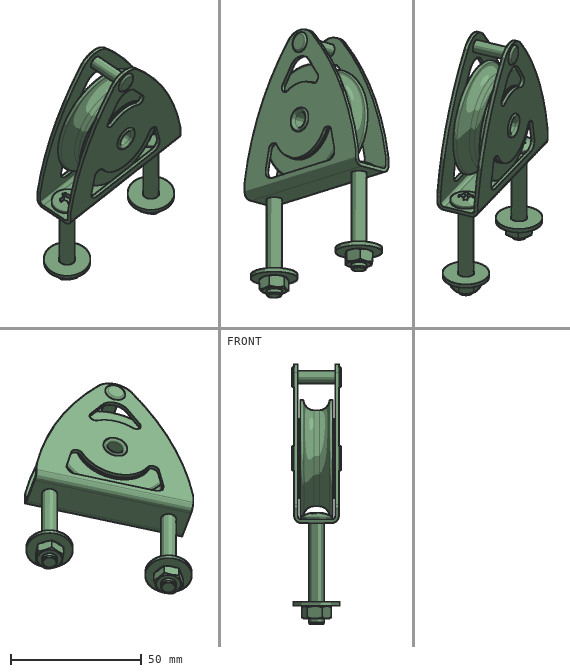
import cadquery as cq
import math


TOTAL_HEIGHT = 99.8

BRACKET_WIDTH = 17.4
BRACKET_LENGTH = 62.4
SHEET = 1.5
BEND_RADIUS = 3.0
BASE_BOTTOM = -24.9
BASE_TOP = BASE_BOTTOM + SHEET
BRACKET_TOP = 36.1
CREST_RADIUS = 9.0
CREST_HALF_ANGLE = math.radians(48.5)
FLANK_BOTTOM = -18.6
FLANK_FOOT_RADIUS = 10.0

WINDOW_INNER_RADIUS = 15.0
UPPER_WINDOW_TOP = 25.4
UPPER_CROWN_RADIUS = 6.2
UPPER_CORNER_RADIUS = 2.1
UPPER_CORNER_Y = 8.1
LOWER_WINDOW_BOTTOM = -19.9
LOWER_CORNER_RADIUS = 3.3
LOWER_CORNER_Y = 16.1
HORN_RADIUS = 2.4
HORN_Y = 15.2

PULLEY_RADIUS = 22.5
PULLEY_WIDTH = 12.6
GROOVE_FLOOR_RADIUS = 37.0 / 2
GROOVE_FLOOR_WIDTH = 2.1
RIM_WIDTH = 1.4
HUB_DIAMETER = 30.5
HUB_WIDTH = 13.6

END_SPAN = 19.0
AXLE_DIAMETER = 9.5
AXLE_BORE = 6.2
AXLE_LIP_ROUND = 0.5
AXLE_MOUTH_DIAMETER = AXLE_DIAMETER - 2 * AXLE_LIP_ROUND
PIN_Z = 31.1
PIN_DIAMETER = 5.0
PIN_HEAD_DIAMETER = 8.0
PIN_HEAD_ROUND = 0.9

BOLT_SPACING = 47.5
BOLT_DIAMETER = 6.0
BOLT_BOTTOM = BRACKET_TOP - TOTAL_HEIGHT
BOLT_TIP_DIAMETER = 5.2
BOLT_TIP_LENGTH = 0.6
HEAD_DIAMETER = 12.0
HEAD_EDGE = 1.0
HEAD_EDGE_ROUND = 0.3
HEAD_HEIGHT = 2.7
RECESS_RADIUS = 3.1
RECESS_ARM_WIDTH = 1.9
RECESS_WAIST = 1.7
RECESS_DEPTH = 1.6
RECESS_TAPER = 14
WASHER_DIAMETER = 18.0
WASHER_HOLE = 6.4
WASHER_THICKNESS = 1.6
WASHER_TOP = -55.1
NUT_FLATS = 10.0
NUT_HEIGHT = 5.0
NUT_FACE_DIAMETER = 9.5
NUT_CHAMFER_ANGLE = math.radians(30)


def cylinder_x(diameter, length):
    """Cylinder on the pulley axis, centred on X = 0."""
    return cq.Workplane("YZ").circle(diameter / 2).extrude(length / 2, both=True)


def on_circle(center, radius, angle):
    return (center[0] + radius * math.cos(angle), center[1] + radius * math.sin(angle))


def tangent_angle(start, start_radius, end, end_radius):
    """Direction of the contact points of the common tangent on the left of start -> end."""
    dy = end[0] - start[0]
    dz = end[1] - start[1]
    return math.atan2(dz, dy) + math.acos((start_radius - end_radius) / math.hypot(dy, dz))


def mirrored(point):
    return (-point[0], point[1])


def resting_center(y, radius, side):
    """Centre of a rounding circle that touches the inner window circle from outside."""
    return (y, side * math.sqrt((WINDOW_INNER_RADIUS + radius) ** 2 - y**2))


def inner_contact(center):
    """Point where a rounding circle touches the inner window circle."""
    return on_circle((0, 0), WINDOW_INNER_RADIUS, math.atan2(center[1], center[0]))


def upper_window():
    """Arch-shaped window above the axle."""
    crown = (0, UPPER_WINDOW_TOP - UPPER_CROWN_RADIUS)
    corner = resting_center(UPPER_CORNER_Y, UPPER_CORNER_RADIUS, 1)
    side = tangent_angle(crown, UPPER_CROWN_RADIUS, corner, UPPER_CORNER_RADIUS)
    crown_end = on_circle(crown, UPPER_CROWN_RADIUS, side)
    corner_start = on_circle(corner, UPPER_CORNER_RADIUS, side)
    corner_middle = on_circle(corner, UPPER_CORNER_RADIUS, -math.pi / 4)
    corner_end = inner_contact(corner)
    return (
        cq.Workplane("YZ")
        .moveTo(*mirrored(crown_end))
        .threePointArc((0, UPPER_WINDOW_TOP), crown_end)
        .lineTo(*corner_start)
        .threePointArc(corner_middle, corner_end)
        .threePointArc((0, WINDOW_INNER_RADIUS), mirrored(corner_end))
        .threePointArc(mirrored(corner_middle), mirrored(corner_start))
        .close()
        .extrude(BRACKET_WIDTH, both=True)
    )


def lower_window():
    """Crescent-shaped window below the axle, with two rounded horns."""
    horn = resting_center(HORN_Y, HORN_RADIUS, -1)
    corner = (LOWER_CORNER_Y, LOWER_WINDOW_BOTTOM + LOWER_CORNER_RADIUS)
    side = tangent_angle(horn, HORN_RADIUS, corner, LOWER_CORNER_RADIUS)
    horn_start = inner_contact(horn)
    horn_middle = on_circle(horn, HORN_RADIUS, math.pi / 2)
    horn_end = on_circle(horn, HORN_RADIUS, side)
    corner_start = on_circle(corner, LOWER_CORNER_RADIUS, side)
    corner_middle = on_circle(corner, LOWER_CORNER_RADIUS, -math.pi / 4)
    corner_end = (LOWER_CORNER_Y, LOWER_WINDOW_BOTTOM)
    return (
        cq.Workplane("YZ")
        .moveTo(*mirrored(horn_start))
        .threePointArc((0, -WINDOW_INNER_RADIUS), horn_start)
        .threePointArc(horn_middle, horn_end)
        .lineTo(*corner_start)
        .threePointArc(corner_middle, corner_end)
        .lineTo(*mirrored(corner_end))
        .threePointArc(mirrored(corner_middle), mirrored(corner_start))
        .lineTo(*mirrored(horn_end))
        .threePointArc(mirrored(horn_middle), mirrored(horn_start))
        .close()
        .extrude(BRACKET_WIDTH, both=True)
    )


def channel(width, bottom, radius):
    """Block along Y with its two lower edges rounded."""
    height = BRACKET_TOP - bottom
    return (
        cq.Workplane("XY", origin=(0, 0, bottom))
        .box(width, BRACKET_LENGTH, height, centered=(True, True, False))
        .edges("|Y and <Z")
        .fillet(radius)
    )


def bracket():
    crest = (0, BRACKET_TOP - CREST_RADIUS)
    half_outline = (
        cq.Workplane("YZ")
        .moveTo(0, BRACKET_TOP)
        .threePointArc(
            on_circle(crest, CREST_RADIUS, math.pi / 2 - CREST_HALF_ANGLE / 2),
            on_circle(crest, CREST_RADIUS, math.pi / 2 - CREST_HALF_ANGLE),
        )
        .tangentArcPoint((BRACKET_LENGTH / 2, FLANK_BOTTOM), relative=False)
        .lineTo(BRACKET_LENGTH / 2, BASE_BOTTOM)
        .lineTo(0, BASE_BOTTOM)
        .close()
        .extrude(BRACKET_WIDTH, both=True)
        .edges(cq.selectors.NearestToPointSelector((0, BRACKET_LENGTH / 2, FLANK_BOTTOM)))
        .fillet(FLANK_FOOT_RADIUS)
    )
    outline = half_outline.union(half_outline.mirror("XZ"))
    outside = channel(BRACKET_WIDTH, BASE_BOTTOM, BEND_RADIUS)
    inside = channel(BRACKET_WIDTH - 2 * SHEET, BASE_TOP, BEND_RADIUS - SHEET)
    sheet = outside.cut(inside).intersect(outline)
    return sheet.cut(upper_window()).cut(lower_window())


def pulley():
    """Grooved wheel with fully rounded rims and a raised hub face on each side."""
    side = PULLEY_WIDTH / 2
    groove_edge = side - RIM_WIDTH
    floor_edge = GROOVE_FLOOR_WIDTH / 2
    rim_center_x = side - RIM_WIDTH / 2
    rim_base = PULLEY_RADIUS - RIM_WIDTH / 2

    flank_width = groove_edge - floor_edge
    flank_depth = rim_base - GROOVE_FLOOR_RADIUS
    flank_radius = (flank_width**2 + flank_depth**2) / (2 * flank_depth)
    half_sweep = math.atan2(flank_width, flank_radius - flank_depth) / 2
    flank_center = (floor_edge, GROOVE_FLOOR_RADIUS + flank_radius)
    flank_middle = on_circle(flank_center, flank_radius, half_sweep - math.pi / 2)

    wheel = (
        cq.Workplane("XY")
        .moveTo(-side, 0)
        .lineTo(-side, rim_base)
        .threePointArc((-rim_center_x, PULLEY_RADIUS), (-groove_edge, rim_base))
        .threePointArc(mirrored(flank_middle), (-floor_edge, GROOVE_FLOOR_RADIUS))
        .lineTo(floor_edge, GROOVE_FLOOR_RADIUS)
        .threePointArc(flank_middle, (groove_edge, rim_base))
        .threePointArc((rim_center_x, PULLEY_RADIUS), (side, rim_base))
        .lineTo(side, 0)
        .close()
        .revolve(360, (0, 0, 0), (1, 0, 0))
    )
    return wheel.union(cylinder_x(HUB_DIAMETER, HUB_WIDTH))


def axle():
    """Axle whose riveted ends have a rounded outer edge."""
    return cylinder_x(AXLE_DIAMETER, END_SPAN).faces("<X or >X").edges().fillet(AXLE_LIP_ROUND)


def axle_bore():
    """Through bore that widens at both ends over a convex quarter round."""
    mouth_round = (AXLE_MOUTH_DIAMETER - AXLE_BORE) / 2
    end = END_SPAN / 2
    straight_end = end - mouth_round
    arc_middle = on_circle((straight_end, AXLE_MOUTH_DIAMETER / 2), mouth_round, -math.pi / 4)
    half_bore = (
        cq.Workplane("XY")
        .lineTo(0, AXLE_BORE / 2)
        .lineTo(straight_end, AXLE_BORE / 2)
        .threePointArc(arc_middle, (end, AXLE_MOUTH_DIAMETER / 2))
        .lineTo(end, 0)
        .close()
        .revolve(360, (0, 0, 0), (1, 0, 0))
    )
    return half_bore.union(half_bore.mirror("YZ"))


def top_pin():
    shank = cylinder_x(PIN_DIAMETER, BRACKET_WIDTH)
    heads = cylinder_x(PIN_HEAD_DIAMETER, END_SPAN).faces("<X or >X").edges().fillet(PIN_HEAD_ROUND)
    heads = heads.cut(cylinder_x(PIN_HEAD_DIAMETER, BRACKET_WIDTH))
    return shank.union(heads).translate((0, 0, PIN_Z))


def cross_recess(turn):
    """Four-armed driver recess with hollow flanks between the arms."""
    half_tip = math.asin(RECESS_ARM_WIDTH / 2 / RECESS_RADIUS)
    quarter = math.pi / 2
    center = (0, 0)
    outline = cq.Workplane("XY").moveTo(*on_circle(center, RECESS_RADIUS, -half_tip))
    for arm in range(4):
        angle = arm * quarter
        outline = outline.lineTo(*on_circle(center, RECESS_RADIUS, angle + half_tip)).threePointArc(
            on_circle(center, RECESS_WAIST, angle + quarter / 2),
            on_circle(center, RECESS_RADIUS, angle + quarter - half_tip),
        )
    recess = outline.close().extrude(-RECESS_DEPTH, taper=RECESS_TAPER)
    head_top = BASE_TOP + HEAD_HEIGHT
    return recess.rotate((0, 0, 0), (0, 0, 1), turn).translate((0, 0, head_top))


def bolt(recess_turn):
    head_top = BASE_TOP + HEAD_HEIGHT
    head_edge_top = BASE_TOP + HEAD_EDGE
    dome_height = HEAD_HEIGHT - HEAD_EDGE
    dome_radius = ((HEAD_DIAMETER / 2) ** 2 + dome_height**2) / (2 * dome_height)
    dome_middle_r = HEAD_DIAMETER / 4
    dome_middle_z = head_top - dome_radius + math.sqrt(dome_radius**2 - dome_middle_r**2)
    body = (
        cq.Workplane("XZ")
        .moveTo(0, BOLT_BOTTOM)
        .lineTo(BOLT_TIP_DIAMETER / 2, BOLT_BOTTOM)
        .lineTo(BOLT_DIAMETER / 2, BOLT_BOTTOM + BOLT_TIP_LENGTH)
        .lineTo(BOLT_DIAMETER / 2, BASE_TOP)
        .lineTo(HEAD_DIAMETER / 2, BASE_TOP)
        .lineTo(HEAD_DIAMETER / 2, head_edge_top)
        .threePointArc((dome_middle_r, dome_middle_z), (0, head_top))
        .close()
        .revolve(360, (0, 0, 0), (0, 1, 0))
        .edges(cq.selectors.NearestToPointSelector((0, 0, head_edge_top)))
        .fillet(HEAD_EDGE_ROUND)
    )
    return body.cut(cross_recess(recess_turn))


def washer():
    return (
        cq.Workplane("XY", origin=(0, 0, WASHER_TOP - WASHER_THICKNESS))
        .circle(WASHER_DIAMETER / 2)
        .circle(WASHER_HOLE / 2)
        .extrude(WASHER_THICKNESS)
    )


def nut(turn):
    corner_radius = NUT_FLATS / math.sqrt(3)
    face_radius = NUT_FACE_DIAMETER / 2
    chamfer_height = (corner_radius - face_radius) * math.tan(NUT_CHAMFER_ANGLE)
    hexagon = cq.Workplane("XY").polygon(6, 2 * corner_radius).extrude(NUT_HEIGHT)
    chamfered_round = (
        cq.Workplane("XY").circle(corner_radius).extrude(NUT_HEIGHT)
        .faces("<Z or >Z")
        .chamfer(chamfer_height, corner_radius - face_radius)
    )
    nut_bottom = WASHER_TOP - WASHER_THICKNESS - NUT_HEIGHT
    shaped = hexagon.intersect(chamfered_round)
    return shaped.rotate((0, 0, 0), (0, 0, 1), turn).translate((0, 0, nut_bottom))


def fastener(y, recess_turn, nut_turn):
    return bolt(recess_turn).union(washer()).union(nut(nut_turn)).translate((0, y, 0))


result = bracket().union(pulley()).union(axle()).cut(axle_bore())
result = result.union(top_pin())
result = result.union(fastener(BOLT_SPACING / 2, recess_turn=22, nut_turn=28))
result = result.union(fastener(-BOLT_SPACING / 2, recess_turn=-22, nut_turn=-7))